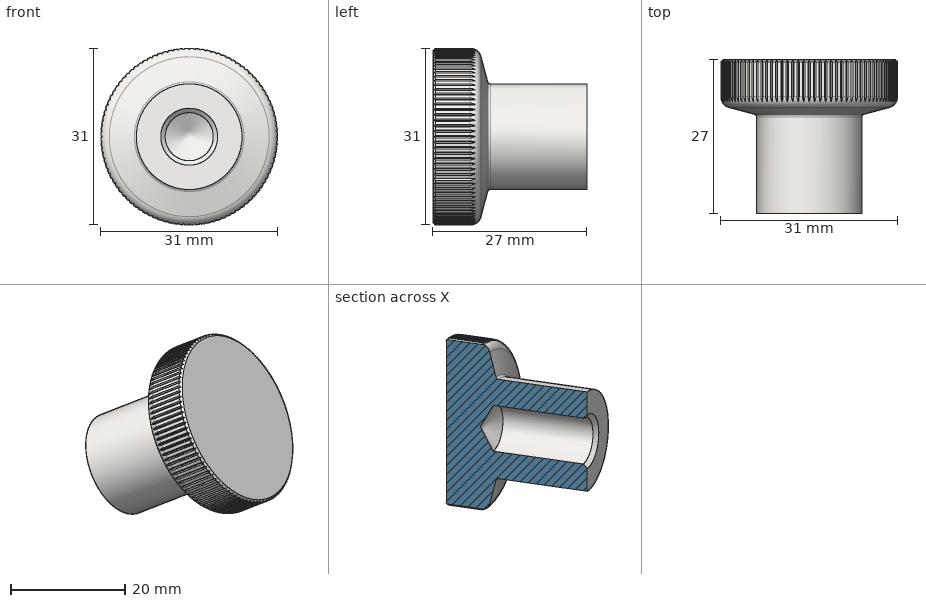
import cadquery as cq
import math


head_radius = 15.5
head_depth = 8.0
rear_chamfer = 0.4
rim_rounding = 1.98
cone_angle = 15.0

hub_radius = 9.27
total_length = 27.0
hub_fillet = 0.45

hole_radius = 4.22
hole_mouth_radius = 5.0
hole_depth = 17.98
drill_point_angle = 120.0

groove_count = 100
groove_depth = 0.2
groove_clearance = 0.3


def revolve_about_y(profile):
    return profile.close().revolve(360, (0, 0, 0), (0, 1, 0))


def make_body():
    """Head and hub, with the rim and the hub root rounded tangentially."""
    slope = math.radians(cone_angle)
    tangent_factor = math.tan((math.pi / 2 - slope) / 2)
    hub_root_depth = head_depth + (head_radius - hub_radius) * math.tan(slope)

    rim_start = head_depth - rim_rounding * tangent_factor
    rim_centre = head_radius - rim_rounding

    def rim_point(angle):
        return rim_centre + rim_rounding * math.cos(angle), -(rim_start + rim_rounding * math.sin(angle))

    fillet_end = hub_root_depth + hub_fillet * tangent_factor
    fillet_centre = hub_radius + hub_fillet

    def fillet_point(angle):
        return fillet_centre - hub_fillet * math.cos(angle), -(fillet_end - hub_fillet * math.sin(angle))

    turn = math.pi / 2 - slope
    profile = (
        cq.Workplane("XY")
        .lineTo(head_radius - rear_chamfer, 0)
        .lineTo(head_radius, -rear_chamfer)
        .lineTo(head_radius, -rim_start)
        .threePointArc(rim_point(turn / 2), rim_point(turn))
        .lineTo(*fillet_point(turn))
        .threePointArc(fillet_point(turn / 2), fillet_point(0))
        .lineTo(hub_radius, -total_length)
        .lineTo(0, -total_length)
    )
    return revolve_about_y(profile)


def make_hole():
    """Blind drilled hole with a 45 degree countersunk mouth."""
    mouth_chamfer = hole_mouth_radius - hole_radius
    hole_bottom = hole_depth - total_length
    point_height = hole_radius / math.tan(math.radians(drill_point_angle / 2))
    profile = (
        cq.Workplane("XY")
        .moveTo(0, -total_length)
        .lineTo(hole_mouth_radius, -total_length)
        .lineTo(hole_radius, mouth_chamfer - total_length)
        .lineTo(hole_radius, hole_bottom)
        .lineTo(0, hole_bottom + point_height)
    )
    return revolve_about_y(profile)


def make_grooves():
    """V grooves along the rim, running out through the rim rounding."""
    root_radius = head_radius - groove_depth
    half_width = groove_depth + groove_clearance
    outer_radius = head_radius + groove_clearance
    groove = (
        cq.Workplane("XZ")
        .moveTo(0, root_radius)
        .lineTo(half_width, outer_radius)
        .lineTo(-half_width, outer_radius)
        .close()
        .extrude(head_depth)
        .val()
    )
    pitch = 360 / groove_count
    axis_end = cq.Vector(0, 1, 0)
    return [groove.rotate(cq.Vector(), axis_end, i * pitch) for i in range(groove_count)]


body = make_body().cut(make_hole())
result = cq.Workplane(body.val().cut(*make_grooves()))